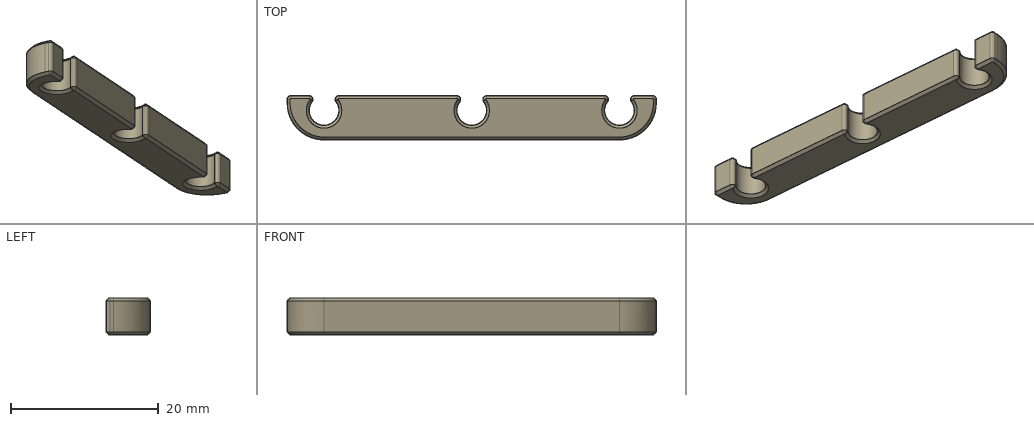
import cadquery as cq

length = 50.0
width = 6.0
height = 5.0
end_radius = 5.0
lip_radius = 0.5
edge_chamfer = 0.4

seat_spacing = 20.0
seat_radius = 2.0
seat_depth = 4.0
mouth_width = 3.0

open_side_y = width / 2
seat_center_y = open_side_y - seat_depth + seat_radius
seat_positions = [-seat_spacing, 0.0, seat_spacing]


def bar():
    """Straight bar with the two corners of its closed side rounded."""
    block = cq.Workplane("XY").box(length, width, height)
    return block.edges("|Z and <Y").fillet(end_radius)


def seat_cutter(x):
    """Full-height bore and the mouth joining it to the open side."""
    bore = cq.Workplane("XY").center(x, seat_center_y).circle(seat_radius).extrude(height / 2, both=True)
    mouth_length = open_side_y - seat_center_y
    mouth_y = seat_center_y + mouth_length / 2
    mouth = cq.Workplane("XY").center(x, mouth_y).box(mouth_width, mouth_length, height)
    return bore.union(mouth)


body = bar()
for seat_x in seat_positions:
    body = body.cut(seat_cutter(seat_x))

body = body.edges("|Z and >Y").fillet(lip_radius)
result = body.faces("<Z or >Z").chamfer(edge_chamfer)